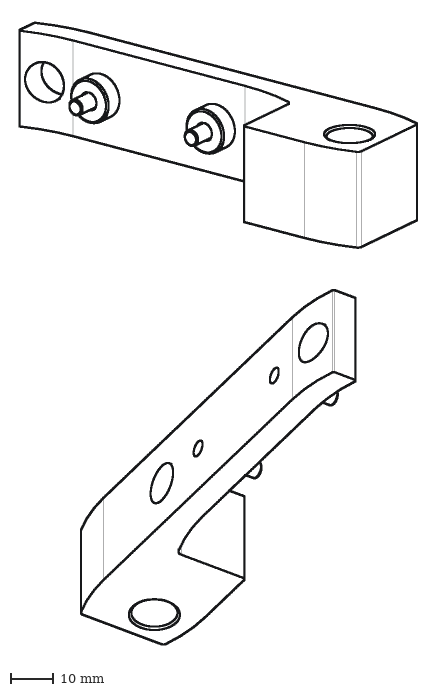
import cadquery as cq
import math

LENGTH = 112.7
DEPTH = 28.2
HEIGHT = 24.2
PLATE_THICKNESS = 6.5
BLOCK_START = 80.2

END_CURVE_LENGTH = 14.3
END_CURVE_RADIUS = 42.8
ROOT_CURVE_START = 64.8
ROOT_CURVE_RADIUS = 45.1

TIP_FILLET = 0.5
ROOT_FILLET = 1.5
BLOCK_CORNER_FILLET = 0.6
BLOCK_END_FILLET = 1.0

PLATE_HOLE_DIAMETER = 10.0
PLATE_HOLE_XS = (6.6, 72.5)

BLOCK_HOLE_DIAMETER = 10.9
BLOCK_HOLE_CHAMFER = 0.6
BLOCK_HOLE_X = 103.7
BLOCK_HOLE_Y = -17.5

PIN_XS = (22.4, 56.4)
COLLAR_DIAMETER = 11.0
COLLAR_LENGTH = 4.7
COLLAR_BORE_DIAMETER = 4.5
COLLAR_CHAMFER = 0.5
PIN_DIAMETER = 4.0
PIN_TIP_DEPTH = 16.7
PIN_CHAMFER = 0.3


def curve_drop(run, radius):
    """Sideways offset of an arc after the given run from its tangent point."""
    return radius - math.sqrt(radius**2 - run**2)


ROOT_RUN = BLOCK_START - ROOT_CURVE_START
ROOT_Y = -PLATE_THICKNESS - curve_drop(ROOT_RUN, ROOT_CURVE_RADIUS)


def along_minus_y(diameter, length, x, start_depth=0.0):
    """Cylinder with its axis at the given X, running towards -Y."""
    plane = cq.Workplane("XZ", origin=(x, -start_depth, 0))
    return plane.circle(diameter / 2).extrude(length)


def arm_profile():
    """Outline of the arm in the XY plane, extruded over the height."""
    front = -PLATE_THICKNESS
    half_curve = END_CURVE_LENGTH / 2
    curve_end = LENGTH - END_CURVE_LENGTH
    end_drop = curve_drop(END_CURVE_LENGTH, END_CURVE_RADIUS)
    middle_drop = curve_drop(half_curve, END_CURVE_RADIUS)
    root_middle_drop = curve_drop(ROOT_RUN / 2, ROOT_CURVE_RADIUS)
    return (
        cq.Workplane("XY", origin=(0, 0, -HEIGHT / 2))
        .moveTo(END_CURVE_LENGTH, 0)
        .lineTo(curve_end, 0)
        .threePointArc((curve_end + half_curve, -middle_drop), (LENGTH, -end_drop))
        .lineTo(LENGTH, -DEPTH + end_drop)
        .threePointArc((curve_end + half_curve, -DEPTH + middle_drop), (curve_end, -DEPTH))
        .lineTo(BLOCK_START, -DEPTH)
        .lineTo(BLOCK_START, ROOT_Y)
        .threePointArc(
            (ROOT_CURVE_START + ROOT_RUN / 2, front - root_middle_drop),
            (ROOT_CURVE_START, front),
        )
        .lineTo(END_CURVE_LENGTH, front)
        .threePointArc((half_curve, front - middle_drop), (0, front - end_drop))
        .lineTo(0, -end_drop)
        .threePointArc((half_curve, -middle_drop), (END_CURVE_LENGTH, 0))
        .close()
        .extrude(HEIGHT)
    )


def round_corners(arm):
    """Fillet the upright edges at the tip, the root and the block."""
    arm = arm.edges("|Z and <X").fillet(TIP_FILLET)
    arm = arm.edges("|Z and >X").fillet(BLOCK_END_FILLET)
    arm = arm.edges(cq.NearestToPointSelector((BLOCK_START, ROOT_Y, 0))).fillet(ROOT_FILLET)
    return arm.edges(cq.NearestToPointSelector((BLOCK_START, -DEPTH, 0))).fillet(BLOCK_CORNER_FILLET)


def make_block_hole():
    """Cutter for the block hole, widened by a chamfer at both ends."""
    radius = BLOCK_HOLE_DIAMETER / 2
    mouth_radius = radius + BLOCK_HOLE_CHAMFER
    top = HEIGHT / 2
    return (
        cq.Workplane("XZ", origin=(BLOCK_HOLE_X, BLOCK_HOLE_Y, 0))
        .polyline([
            (0, -top),
            (mouth_radius, -top),
            (radius, -top + BLOCK_HOLE_CHAMFER),
            (radius, top - BLOCK_HOLE_CHAMFER),
            (mouth_radius, top),
            (0, top),
        ])
        .close()
        .revolve(360, (0, 0), (0, 1))
    )


def make_arm():
    arm = round_corners(arm_profile())
    for x in PLATE_HOLE_XS:
        arm = arm.cut(along_minus_y(PLATE_HOLE_DIAMETER, DEPTH, x))
    for x in PIN_XS:
        arm = arm.cut(along_minus_y(PIN_DIAMETER, PLATE_THICKNESS, x))
    return arm.cut(make_block_hole())


def make_collar(x):
    """Ring seated on the front face of the plate, chamfered on its free rim."""
    ring = along_minus_y(COLLAR_DIAMETER, COLLAR_LENGTH, x, PLATE_THICKNESS)
    ring = ring.faces("<Y").chamfer(COLLAR_CHAMFER)
    return ring.cut(along_minus_y(COLLAR_BORE_DIAMETER, COLLAR_LENGTH, x, PLATE_THICKNESS))


def make_pin(x):
    """Pin fitted through the plate and standing out past the collar."""
    pin = along_minus_y(PIN_DIAMETER, PIN_TIP_DEPTH, x)
    return pin.faces("<Y").chamfer(PIN_CHAMFER)


arm = make_arm()
collars = [make_collar(x) for x in PIN_XS]
pins = [make_pin(x) for x in PIN_XS]

result = cq.Compound.makeCompound([
    arm.val(),
    *[collar.val() for collar in collars],
    *[pin.val() for pin in pins],
])